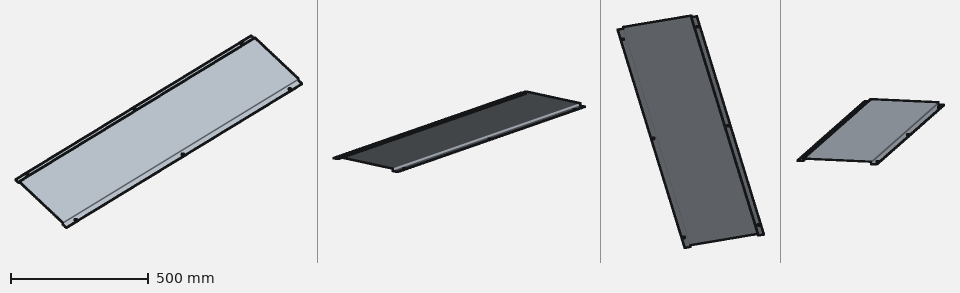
import cadquery as cq

length = 1100.0
width = 296.0
height = 10.0

thickness = 1.0
inner_bend_radius = 1.0
outer_bend_radius = inner_bend_radius + thickness
flange_width = 21.0

hole_diameter = 8.0
hole_edge_distance = 8.2
hole_pitch = 499.0


def hat_section():
    """Sharp-cornered hat profile swept along the full length."""
    edge_x = width / 2
    web_outer_x = edge_x - flange_width
    web_inner_x = web_outer_x - thickness
    right_half = [
        (web_inner_x, height - thickness),
        (web_inner_x, 0),
        (edge_x, 0),
        (edge_x, thickness),
        (web_outer_x, thickness),
        (web_outer_x, height),
    ]
    left_half = [(-x, z) for x, z in reversed(right_half)]
    profile = cq.Workplane("XZ").polyline(right_half + left_half).close()
    return profile.extrude(length / 2, both=True)


def round_bends(sheet):
    """Round both faces of the four bends with concentric radii."""
    web_outer_x = width / 2 - flange_width
    web_inner_x = web_outer_x - thickness
    for side in (-1, 1):
        bends = [
            (web_outer_x, height, outer_bend_radius),
            (web_inner_x, height - thickness, inner_bend_radius),
            (web_inner_x, 0, outer_bend_radius),
            (web_outer_x, thickness, inner_bend_radius),
        ]
        for x, z, radius in bends:
            corner = cq.selectors.NearestToPointSelector((side * x, 0, z))
            sheet = sheet.edges("|Y").edges(corner).fillet(radius)
    return sheet


def mounting_holes():
    """Cutters for three round holes through each flange."""
    hole_x = width / 2 - hole_edge_distance
    points = [(side * hole_x, row * hole_pitch) for side in (-1, 1) for row in (-1, 0, 1)]
    return cq.Workplane("XY").pushPoints(points).circle(hole_diameter / 2).extrude(thickness)


result = round_bends(hat_section()).cut(mounting_holes())